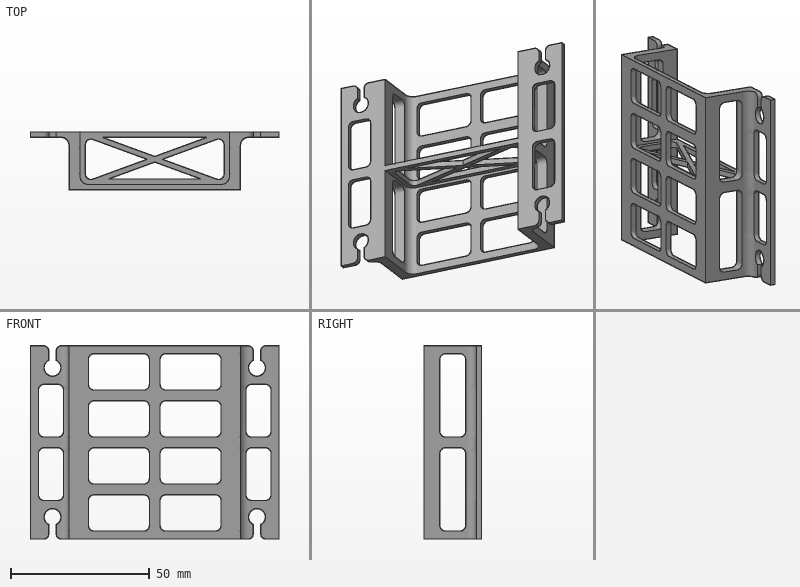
import cadquery as cq
import math

width = 90.0
depth = 21.0
height = 70.0

channel_width = 62.0
side_wall = 4.0
front_wall = 2.0
flange_thickness = 2.0
root_radius = 3.0
inner_corner_radius = 3.0

rib = 4.0
rim = 3.0
window_corner_radius = 2.0
front_rows = 4
front_columns = 2
front_window_width = 22.0
side_rows = 2
side_window_width = 9.3
flange_rows = 2
flange_window_width = 9.0
flange_window_height = 19.0

keyhole_inset = 8.0
keyhole_diameter = 6.0
keyhole_neck = 2.6
keyhole_mouth_radius = 2.0

brace_thickness = 2.0
brace_frame = 2.0
brace_bar = 2.0
brace_centre_depth = 9.9
brace_corner_radius = 2.0

inner_width = channel_width - 2 * side_wall
inner_depth = depth - front_wall
front_window_height = (height - 2 * rim - (front_rows - 1) * rib) / front_rows
side_window_height = (height - 2 * rim - (side_rows - 1) * rib) / side_rows
flange_window_x = width / 2 - rim - flange_window_width / 2
keyhole_x = width / 2 - keyhole_inset


def box(size, center):
    return cq.Workplane("XY").box(*size).translate(center)


def spread(count, pitch):
    """Positions of evenly spaced items, centred on zero."""
    return [(i - (count - 1) / 2) * pitch for i in range(count)]


def cut_windows(body, window, x_places, z_places):
    """Cut a copy of the window at every column and row."""
    for x in x_places:
        for z in z_places:
            body = body.cut(window.translate((x, 0, z)))
    return body


def make_channel():
    """Hat section: a channel open to the back, with a flange on each side."""
    block = box((channel_width, depth, height), (0, -depth / 2, 0))
    flanges = box((width, flange_thickness, height), (0, -flange_thickness / 2, 0))
    hollow = box((inner_width, 2 * inner_depth, height), (0, 0, 0))
    hollow = hollow.edges("|Z").fillet(inner_corner_radius)
    return block.union(flanges).cut(hollow)


def cut_flange_windows(body):
    size = (flange_window_width, flange_thickness, flange_window_height)
    window = box(size, (0, -flange_thickness / 2, 0)).edges("|Y").fillet(window_corner_radius)
    x_places = (-flange_window_x, flange_window_x)
    return cut_windows(body, window, x_places, spread(flange_rows, flange_window_height + rib))


def round_flange_roots(body):
    """Fillet between flange and channel; it rolls along the edges of the flange windows."""
    reach = 0.1
    for side in (-1, 1):
        x = side * channel_width / 2
        near_root = cq.selectors.BoxSelector(
            (x - reach, -flange_thickness - reach, -reach),
            (x + reach, -flange_thickness + reach, reach),
        )
        body = body.edges(near_root).fillet(root_radius)
    return body


def cut_front_windows(body):
    size = (front_window_width, front_wall, front_window_height)
    window = box(size, (0, front_wall / 2 - depth, 0)).edges("|Y").fillet(window_corner_radius)
    x_places = spread(front_columns, front_window_width + rib)
    return cut_windows(body, window, x_places, spread(front_rows, front_window_height + rib))


def cut_side_windows(body):
    """Each window passes through both side walls."""
    size = (channel_width, side_window_width, side_window_height)
    window = box(size, (0, -depth / 2, 0)).edges("|X").fillet(window_corner_radius)
    return cut_windows(body, window, [0], spread(side_rows, side_window_height + rib))


def make_keyhole():
    """Round hole with a neck that flares out to the top end of the flange."""
    half_neck = keyhole_neck / 2
    half_mouth = half_neck + keyhole_mouth_radius
    top = height / 2
    flare_z = top - keyhole_mouth_radius
    hole_z = top - keyhole_inset
    bend = keyhole_mouth_radius * (1 - math.sqrt(0.5))
    neck = (
        cq.Workplane("XZ")
        .moveTo(-half_neck, hole_z)
        .lineTo(-half_neck, flare_z)
        .threePointArc((-half_neck - bend, top - bend), (-half_mouth, top))
        .lineTo(half_mouth, top)
        .threePointArc((half_neck + bend, top - bend), (half_neck, flare_z))
        .lineTo(half_neck, hole_z)
        .close()
        .extrude(flange_thickness)
    )
    hole = cq.Workplane("XZ").center(0, hole_z).circle(keyhole_diameter / 2).extrude(flange_thickness)
    return neck.union(hole)


def cut_keyholes(body):
    upper = make_keyhole()
    for keyhole in (upper, upper.mirror("XY")):
        for x in (-keyhole_x, keyhole_x):
            body = body.cut(keyhole.translate((x, 0, 0)))
    return body


def make_brace():
    """Flat frame with two crossing bars; the gaps beside the crossing have rounded outer corners."""
    slope = 2 * brace_centre_depth / inner_width
    angle = math.degrees(math.atan(slope))
    center = (0, -brace_centre_depth, 0)
    plate = box((inner_width, inner_depth, brace_thickness), (0, -inner_depth / 2, 0))
    opening_size = (inner_width - 2 * brace_frame, inner_depth - 2 * brace_frame, brace_thickness)
    opening = box(opening_size, (0, -inner_depth / 2, 0))

    for turn in (-angle, angle):
        bar = cq.Workplane("XY").box(width, brace_bar, brace_thickness)
        bar = bar.rotate((0, 0, 0), (0, 0, 1), turn).translate(center)
        opening = opening.cut(bar)
    front_and_back_gaps = opening.solids("<Y or >Y")

    tip_x = brace_bar / 2 / math.sin(math.radians(angle))
    base_x = inner_width / 2 - brace_frame
    half_base = (base_x - tip_x) * slope
    side_gap = (
        cq.Workplane("XY")
        .polyline([(tip_x, 0), (base_x, half_base), (base_x, -half_base)])
        .close()
        .extrude(brace_thickness / 2, both=True)
        .edges("|Z and >X")
        .fillet(brace_corner_radius)
        .translate(center)
    )
    return plate.cut(front_and_back_gaps).cut(side_gap).cut(side_gap.mirror("YZ"))


result = make_channel()
result = cut_flange_windows(result)
result = round_flange_roots(result)
result = cut_keyholes(result)
result = cut_front_windows(result)
result = cut_side_windows(result)
result = result.union(make_brace())